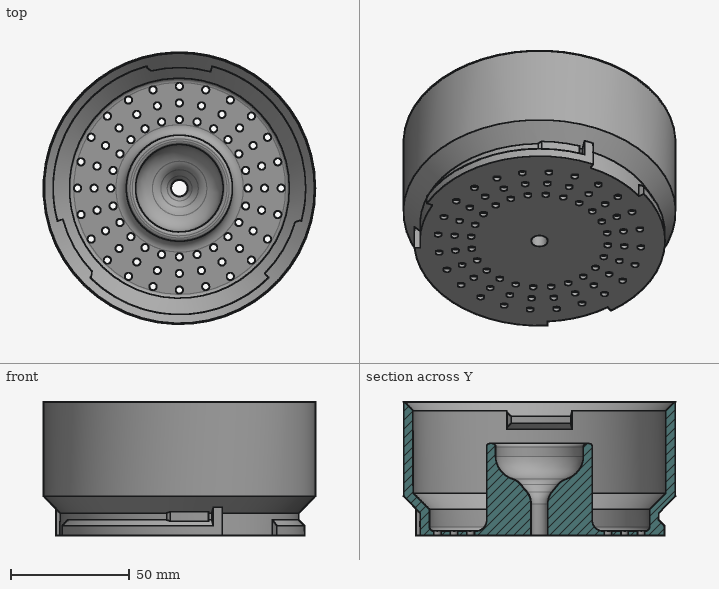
import cadquery as cq
import math

height = 56.5
outer_radius = 57.5
cone_top_z = 16.7
neck_top_z = 9.4
neck_radius = 50.5

wall_inner_radius = 53.4
well_radius = 46.5
cavity_cone_top_z = 17.9
cavity_cone_bottom_z = cavity_cone_top_z - (wall_inner_radius - well_radius)
floor_z = 2.0
floor_fillet = 1.7
rim_land = 0.5
rim_bevel_radius = outer_radius - rim_land

boss_radius = 22.4
boss_top_z = 39.0
boss_base_fillet = 4.5
boss_edge_fillet = 1.5
bore_radius = 18.5
bore_bottom_z = 33.6

bowl_arc_radius = 10.0
bowl_end_radius = 11.5
drain_blend_radius = 7.7
drain_slope = 50.0
drain_radius = 3.5

floor_hole_diameter = 3.0
floor_hole_count = 24
first_hole_circle = 29.0
hole_circle_step = 7.0
hole_circle_count = 3

bayonet_count = 3
bayonet_pitch = 360.0 / bayonet_count
track_radius = 53.0
track_edge_z = 4.1
track_top_z = track_edge_z + track_radius - neck_radius
track_start = 201.0
track_end = 290.0
stop_angle = 4.3
bump_radius = 51.2
bump_start = 264.0
bump_bevel_angle = 1.8
bump_end = 284.0
bump_step = 0.1

lug_radius = 51.0
lug_start = 75.0
lug_end = 105.0
lug_bevel_angle = 1.4
lug_step = 0.8
lug_bottom_z = 45.0

overlap = 1.2


def polar(radius, degrees):
    """Plan point at a distance from the axis and an angle from +X."""
    angle = math.radians(degrees)
    return (radius * math.cos(angle), radius * math.sin(angle))


def around_axis(solid):
    """Repeat a solid at each bayonet position."""
    copies = cq.Workplane("XY")
    for i in range(bayonet_count):
        copies = copies.add(solid.rotate((0, 0, 0), (0, 0, 1), i * bayonet_pitch))
    return copies.combine()


def revolve(profile, degrees=360.0):
    """Close a half profile and turn it about the Z axis, starting at +X."""
    return profile.close().revolve(degrees, (0, 0, 0), (0, 1, 0))


def pad(root_radius, step_radius, face_radius, square_end, bevel_face, bevel_end, z_low, z_high):
    """Upright pad on a round wall: one end radial, the other with a small step and a bevel."""
    middle = (square_end + bevel_face) / 2
    root_middle = (square_end + bevel_end) / 2
    return (
        cq.Workplane("XY", origin=(0, 0, z_low))
        .moveTo(*polar(root_radius, square_end))
        .lineTo(*polar(face_radius, square_end))
        .threePointArc(polar(face_radius, middle), polar(face_radius, bevel_face))
        .lineTo(*polar(step_radius, bevel_end))
        .lineTo(*polar(root_radius, bevel_end))
        .threePointArc(polar(root_radius, root_middle), polar(root_radius, square_end))
        .close()
        .extrude(z_high - z_low)
    )


def make_shell():
    """Cup with a conical shoulder and a filleted floor."""
    outside = (
        cq.Workplane("XZ")
        .lineTo(neck_radius, 0)
        .lineTo(neck_radius, neck_top_z)
        .lineTo(outer_radius, cone_top_z)
        .lineTo(outer_radius, height)
        .lineTo(0, height)
    )
    fillet_side = floor_fillet * math.sin(math.pi / 4)
    fillet_centre = (well_radius - floor_fillet, floor_z + floor_fillet)
    cavity = (
        cq.Workplane("XZ")
        .moveTo(0, floor_z)
        .lineTo(fillet_centre[0], floor_z)
        .threePointArc(
            (fillet_centre[0] + fillet_side, fillet_centre[1] - fillet_side),
            (well_radius, fillet_centre[1]),
        )
        .lineTo(well_radius, cavity_cone_bottom_z)
        .lineTo(wall_inner_radius, cavity_cone_top_z)
        .lineTo(wall_inner_radius, height)
        .lineTo(0, height)
    )
    return revolve(outside).cut(revolve(cavity))


def make_boss():
    """Round boss flared into the floor, with rounded top edges and a plain bore."""
    flare_side = boss_base_fillet * (1 - math.sin(math.pi / 4))
    edge_side = boss_edge_fillet * (1 - math.sin(math.pi / 4))
    profile = (
        cq.Workplane("XZ")
        .moveTo(0, floor_z - overlap)
        .lineTo(boss_radius + boss_base_fillet, floor_z - overlap)
        .lineTo(boss_radius + boss_base_fillet, floor_z)
        .threePointArc(
            (boss_radius + flare_side, floor_z + flare_side),
            (boss_radius, floor_z + boss_base_fillet),
        )
        .lineTo(boss_radius, boss_top_z - boss_edge_fillet)
        .threePointArc(
            (boss_radius - edge_side, boss_top_z - edge_side),
            (boss_radius - boss_edge_fillet, boss_top_z),
        )
        .lineTo(bore_radius + boss_edge_fillet, boss_top_z)
        .threePointArc(
            (bore_radius + edge_side, boss_top_z - edge_side),
            (bore_radius, boss_top_z - boss_edge_fillet),
        )
        .lineTo(bore_radius, bore_bottom_z)
        .lineTo(0, bore_bottom_z)
    )
    return revolve(profile)


def make_bowl_and_drain():
    """Space below the bore: a rounded bowl, a smooth funnel and a straight drain hole."""
    bowl_centre = bore_radius - bowl_arc_radius
    end_slope = math.asin((bowl_end_radius - bowl_centre) / bowl_arc_radius)
    slope = math.radians(drain_slope)

    def bowl_point(angle):
        """Point on the bowl arc where the surface has the given slope."""
        return (
            bowl_centre + bowl_arc_radius * math.sin(angle),
            bore_bottom_z - bowl_arc_radius * math.cos(angle),
        )

    def blend_point(start, start_angle, angle):
        """Point on a convex blend that leaves the start point at start_angle."""
        return (
            start[0] - drain_blend_radius * (math.sin(angle) - math.sin(start_angle)),
            start[1] - drain_blend_radius * (math.cos(start_angle) - math.cos(angle)),
        )

    vertical = math.pi / 2
    bowl_end = bowl_point(end_slope)
    funnel_top = blend_point(bowl_end, end_slope, slope)
    throat_blend = drain_blend_radius * (1 - math.sin(slope))
    funnel_bottom_radius = drain_radius + throat_blend
    funnel_drop = (funnel_top[0] - funnel_bottom_radius) * math.tan(slope)
    funnel_bottom = (funnel_bottom_radius, funnel_top[1] - funnel_drop)
    throat = blend_point(funnel_bottom, slope, vertical)
    profile = (
        cq.Workplane("XZ")
        .moveTo(0, bore_bottom_z)
        .lineTo(bore_radius, bore_bottom_z)
        .threePointArc(bowl_point((vertical + end_slope) / 2), bowl_end)
        .threePointArc(blend_point(bowl_end, end_slope, (end_slope + slope) / 2), funnel_top)
        .lineTo(*funnel_bottom)
        .threePointArc(blend_point(funnel_bottom, slope, (slope + vertical) / 2), throat)
        .lineTo(drain_radius, 0)
        .lineTo(0, 0)
    )
    return revolve(profile)


def make_floor_holes():
    """Concentric circles of small holes through the floor."""
    holes = cq.Workplane("XY")
    for i in range(hole_circle_count):
        circle_radius = first_hole_circle + i * hole_circle_step
        ring = (
            cq.Workplane("XY")
            .polarArray(circle_radius, 0, 360, floor_hole_count)
            .circle(floor_hole_diameter / 2)
            .extrude(floor_z)
        )
        holes = holes.add(ring)
    return holes.combine()


def make_track():
    """Bayonet track on the neck, closed at one end by an upright stop."""
    root = neck_radius - overlap
    track = revolve(
        cq.Workplane("XZ")
        .moveTo(root, 0)
        .lineTo(track_radius, 0)
        .lineTo(track_radius, track_edge_z)
        .lineTo(neck_radius, track_top_z)
        .lineTo(root, track_top_z),
        track_end - track_start,
    ).rotate((0, 0, 0), (0, 0, 1), track_start)

    shoulder_rise = (cone_top_z - neck_top_z) / (outer_radius - neck_radius)
    stop_top_z = neck_top_z + (track_radius - neck_radius) * shoulder_rise
    stop = revolve(
        cq.Workplane("XZ")
        .moveTo(root, 0)
        .lineTo(track_radius, 0)
        .lineTo(track_radius, stop_top_z)
        .lineTo(root, stop_top_z),
        stop_angle,
    ).rotate((0, 0, 0), (0, 0, 1), track_end - stop_angle)
    return track.union(stop)


def make_bump():
    """Shallow locking bump between the track and the conical shoulder."""
    return pad(
        neck_radius - overlap,
        neck_radius + bump_step,
        bump_radius,
        bump_end,
        bump_start + bump_bevel_angle,
        bump_start,
        track_edge_z,
        neck_top_z + overlap,
    )


def make_lug():
    """Lug inside the rim with an underside sloping 45 degrees."""
    root = wall_inner_radius + overlap
    under_z = lug_bottom_z - overlap
    band = revolve(
        cq.Workplane("XZ")
        .moveTo(root, under_z)
        .lineTo(root, height)
        .lineTo(lug_radius, height)
        .lineTo(lug_radius, under_z + root - lug_radius)
    )
    outline = pad(
        root,
        wall_inner_radius - lug_step,
        lug_radius,
        lug_start,
        lug_end - lug_bevel_angle,
        lug_end,
        under_z,
        height,
    )
    return band.intersect(outline)


def make_rim_bevel():
    """Truncated cone that bevels the rim and the tops of the lugs at 45 degrees."""
    inner_end = lug_radius - overlap
    inner_end_z = height - (rim_bevel_radius - inner_end)
    profile = (
        cq.Workplane("XZ")
        .moveTo(0, height)
        .lineTo(rim_bevel_radius, height)
        .lineTo(inner_end, inner_end_z)
        .lineTo(0, inner_end_z)
    )
    return revolve(profile)


result = make_shell().union(make_boss())
result = result.cut(make_bowl_and_drain()).cut(make_floor_holes())
for feature in (make_track(), make_bump(), make_lug()):
    result = result.union(around_axis(feature))
result = result.cut(make_rim_bevel()).solids()